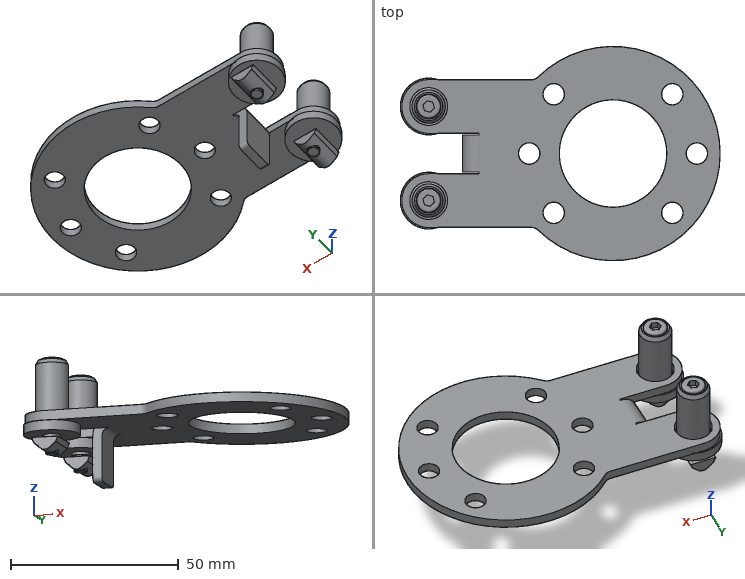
import cadquery as cq
import math


disc_radius = 32.0
plate_thickness = 3.0
centre_hole_diameter = 32.0
mount_hole_diameter = 6.3
mount_circle_radius = 25.0
mount_hole_angles = [0, 45, 135, 180, 225, 315]
overall_length = 95.5
neck_fillet = 3.0

flange_radius = 8.5
arm_radius = 8.0
bush_spacing = 28.1
bush_x = disc_radius - overall_length + flange_radius
bush_y = bush_spacing / 2
arm_outer_y = bush_y + arm_radius
slot_half_width = bush_y - arm_radius
bush_hole_radius = 5.6

tab_width = 11.1
tab_offset = 10.0
tab_drop = 16.2
tab_corner_radius = 1.2
bend_inner_radius = 2.0
bend_outer_radius = bend_inner_radius + plate_thickness
tab_outer_x = bush_x + tab_offset
tab_inner_x = tab_outer_x + plate_thickness
bend_x = tab_outer_x + bend_outer_radius

flange_thickness = 3.1
barrel_radius = 5.0
barrel_top_z = 19.6
barrel_chamfer_width = 0.8
barrel_chamfer_height = 1.3
barrel_root_fillet = 0.5
collar_radius = 2.7
collar_length = 0.9

head_radius = 3.5
head_height = 4.0
head_rounding = 0.6
head_clearance = 0.2
shank_radius = 2.0
shank_tip_chamfer = 0.3
socket_across_flats = 3.1
socket_depth = 2.0
socket_turn = -15
screw_top_z = 20.15
screw_tip_z = -8.8
head_seat_z = screw_top_z - head_height

nut_length = 11.5
nut_outward_offset = 1.5
nut_top_z = -4.9
nut_half_width = 4.1
nut_height = 3.8
shoulder_half_width = 3.4
shoulder_depth = 1.6
nose_half_width = 1.4
nose_depth = 3.3


def revolve_about_z(half_section):
    return cq.Workplane("XZ").polyline(half_section).close().revolve(360, (0, 0, 0), (0, 1, 0))


def make_plate():
    """Disc with two round-ended arms, a hole pattern and a tab bent down between the arms."""
    disc = cq.Workplane("XY").circle(disc_radius).extrude(plate_thickness)
    arm_block = (
        cq.Workplane("XY")
        .rect(-bush_x, 2 * arm_outer_y)
        .extrude(plate_thickness)
        .translate((bush_x / 2, 0, 0))
    )
    plate = disc.union(arm_block)

    neck_x = -math.sqrt(disc_radius**2 - arm_outer_y**2)
    for side in (-1, 1):
        corner = cq.selectors.NearestToPointSelector((neck_x, side * arm_outer_y, plate_thickness / 2))
        plate = plate.edges("|Z").edges(corner).fillet(neck_fillet)

    slot = (
        cq.Workplane("XY")
        .rect(bend_x - bush_x, 2 * slot_half_width)
        .extrude(plate_thickness)
        .translate(((bend_x + bush_x) / 2, 0, 0))
    )
    bush_points = [(bush_x, -bush_y), (bush_x, bush_y)]
    arm_ends = cq.Workplane("XY").pushPoints(bush_points).circle(arm_radius).extrude(plate_thickness)
    bush_holes = cq.Workplane("XY").pushPoints(bush_points).circle(bush_hole_radius).extrude(plate_thickness)
    plate = plate.cut(slot).union(arm_ends).cut(bush_holes)

    mount_points = [
        (mount_circle_radius * math.cos(math.radians(a)), mount_circle_radius * math.sin(math.radians(a)))
        for a in mount_hole_angles
    ]
    centre_hole = cq.Workplane("XY").circle(centre_hole_diameter / 2).extrude(plate_thickness)
    mount_holes = (
        cq.Workplane("XY").pushPoints(mount_points).circle(mount_hole_diameter / 2).extrude(plate_thickness)
    )
    return plate.cut(centre_hole).cut(mount_holes).union(make_tab())


def make_tab():
    """Tab leaving the slot end, bent through a right angle to hang straight down."""
    bend_z = -bend_inner_radius
    mid_outer = bend_outer_radius * math.sqrt(0.5)
    mid_inner = bend_inner_radius * math.sqrt(0.5)
    tab = (
        cq.Workplane("XZ")
        .moveTo(bend_x, plate_thickness)
        .threePointArc((bend_x - mid_outer, bend_z + mid_outer), (tab_outer_x, bend_z))
        .lineTo(tab_outer_x, -tab_drop)
        .lineTo(tab_inner_x, -tab_drop)
        .lineTo(tab_inner_x, bend_z)
        .threePointArc((bend_x - mid_inner, bend_z + mid_inner), (bend_x, 0))
        .close()
        .extrude(tab_width / 2, both=True)
    )
    return tab.faces("<Z").edges("|X").fillet(tab_corner_radius)


def make_bush(y):
    """Flanged bush: barrel above the flange, short collar below, stepped bore for the screw."""
    barrel_chamfer_z = barrel_top_z - barrel_chamfer_height
    counterbore_radius = head_radius + head_clearance
    half_section = [
        (shank_radius, -flange_thickness - collar_length),
        (collar_radius, -flange_thickness - collar_length),
        (collar_radius, -flange_thickness),
        (flange_radius, -flange_thickness),
        (flange_radius, 0),
        (barrel_radius, 0),
        (barrel_radius, barrel_chamfer_z),
        (barrel_radius - barrel_chamfer_width, barrel_top_z),
        (counterbore_radius, barrel_top_z),
        (counterbore_radius, head_seat_z),
        (shank_radius, head_seat_z),
    ]
    bush = revolve_about_z(half_section)
    flange_top = bush.faces(">Z[-3]")
    bush = flange_top.edges(cq.selectors.RadiusNthSelector(0)).fillet(barrel_root_fillet)
    return bush.translate((bush_x, y, 0))


def make_screw(y):
    """Socket-head screw seated in the bush, its shank running down through the nut."""
    half_section = [
        (0, screw_tip_z),
        (shank_radius - shank_tip_chamfer, screw_tip_z),
        (shank_radius, screw_tip_z + shank_tip_chamfer),
        (shank_radius, head_seat_z),
        (head_radius, head_seat_z),
        (head_radius, screw_top_z),
        (0, screw_top_z),
    ]
    socket_across_corners = socket_across_flats / math.cos(math.radians(30))
    socket = (
        cq.Workplane("XY", origin=(0, 0, screw_top_z))
        .polygon(6, socket_across_corners)
        .extrude(-socket_depth)
        .rotate((0, 0, 0), (0, 0, 1), socket_turn)
    )
    blank = revolve_about_z(half_section).faces(">Z").edges().fillet(head_rounding)
    return blank.cut(socket).translate((bush_x, y, 0))


def make_nut(y):
    """Slot nut with a tapering, round-nosed section, set off outward from the screw."""
    outward = math.copysign(nut_outward_offset, y)
    body = (
        cq.Workplane("XZ")
        .moveTo(-nut_half_width, 0)
        .lineTo(nut_half_width, 0)
        .lineTo(shoulder_half_width, -shoulder_depth)
        .lineTo(nose_half_width, -nose_depth)
        .threePointArc((0, -nut_height), (-nose_half_width, -nose_depth))
        .lineTo(-shoulder_half_width, -shoulder_depth)
        .close()
        .extrude(nut_length / 2, both=True)
        .translate((0, outward, 0))
    )
    screw_hole = cq.Workplane("XY").circle(shank_radius).extrude(-nut_height)
    return body.cut(screw_hole).translate((bush_x, y, nut_top_z))


plate = make_plate()
bushes = []
screws = []
nuts = []
for y in (-bush_y, bush_y):
    bushes.append(make_bush(y).val())
    screws.append(make_screw(y).val())
    nuts.append(make_nut(y).val())

result = cq.Compound.makeCompound([plate.val(), *bushes, *screws, *nuts])